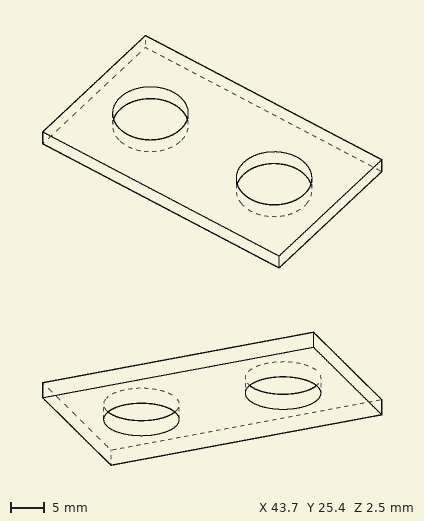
import cadquery as cq

length = 43.7
width = 25.4
thickness = 2.5

hole_diameter = 11.2
hole_spacing = 22.85

plate = cq.Workplane("XY").box(length, width, thickness)

result = (
    plate.faces(">Z")
    .workplane()
    .pushPoints([(-hole_spacing / 2, 0), (hole_spacing / 2, 0)])
    .hole(hole_diameter)
)